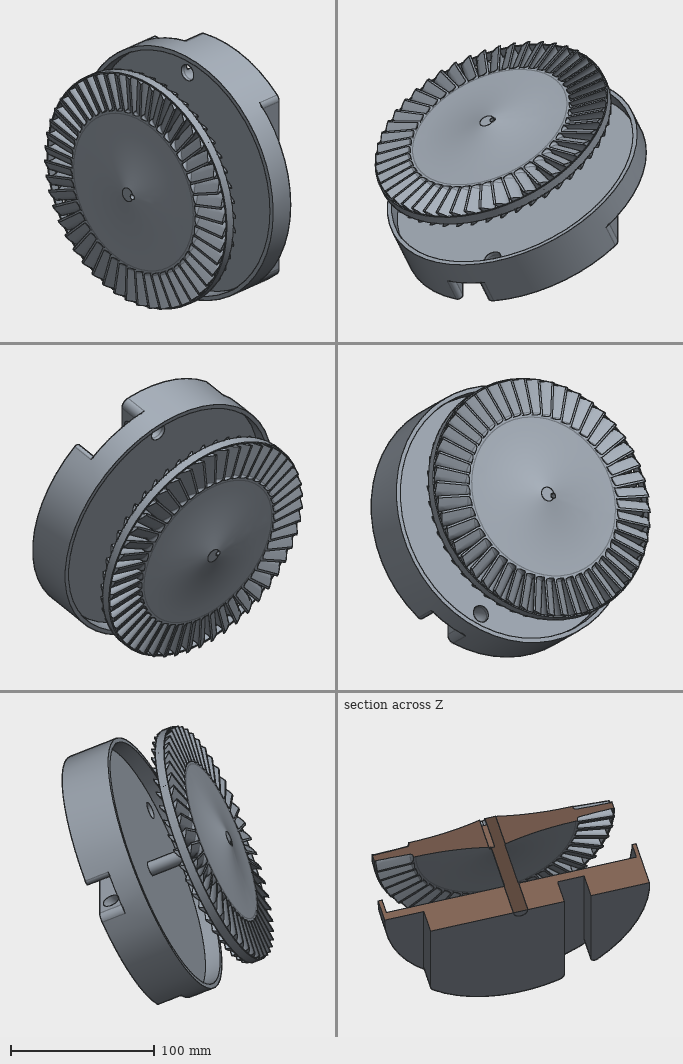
import cadquery as cq
import math


HOUSING_RADIUS = 93.5
HOUSING_DEPTH = 35.5
WALL = 3.2
RECESS_DEPTH = 11.2
BASE_DEPTH = HOUSING_DEPTH / 2
SEGMENT_X = -50.7
SEGMENT_CORNER = 3.0
LOWER_FACE_X = -31.8
UPPER_FACE_X = -12.7
STEP_Z = 56.1
OUTLET_FACE_X = 65.3
BLOCK_CORNER = 6.0

NOZZLE_Z = 73.5
NOZZLE_RADIUS = 6.0
NOZZLE_BEND = 12.7

WHEEL_Y = -36.5
WHEEL_TURN = -5.2
HUB_HALF_WIDTH = 12.7
BLADE_HALF_WIDTH = 6.7
DISH_RADIUS = 57.8
HUB_RADIUS = 59.5
RIM_INNER_RADIUS = 85.9
RIM_RADIUS = 87.0
RIM_WIDTH = 6.5

BLADE_COUNT = 48
BLADE_PHASE = 10.4
BLADE_THICKNESS = 9.5
BLADE_EDGE = 1.5
HOLLOW_DEPTH = 2.5
ROOT_FILLET = 1.9

SHAFT_RADIUS = 5.0
KEY_RADIUS = 1.9
KEY_OFFSET = 4.5
KEY_INSET = 5.6

BACK_LAYER_MID_Y = (BASE_DEPTH + HOUSING_DEPTH) / 2
WHEEL_FRONT_Y = WHEEL_Y - HUB_HALF_WIDTH
WHEEL_BACK_Y = WHEEL_Y + HUB_HALF_WIDTH
BLADE_FRONT_Y = WHEEL_Y - BLADE_HALF_WIDTH
BLADE_BACK_Y = WHEEL_Y + BLADE_HALF_WIDTH
SHAFT_AXIS = ((0, 0, 0), (0, 1, 0))


def cylinder(radius, front_y, back_y, x=0.0, z=0.0):
    """Cylinder along Y between two planes."""
    return cq.Workplane("XZ", origin=(x, back_y, z)).circle(radius).extrude(back_y - front_y)


def turn_with_wheel(body):
    return body.rotate(*SHAFT_AXIS, -WHEEL_TURN)


def circle_z(x):
    """Height of the housing's outer circle at a given X."""
    return math.sqrt(HOUSING_RADIUS**2 - x**2)



def back_layer(outline):
    """Part of the housing behind its base disc, trimmed to the outer circle."""
    return outline.extrude(BASE_DEPTH - HOUSING_DEPTH).intersect(
        cylinder(HOUSING_RADIUS, BASE_DEPTH, HOUSING_DEPTH)
    )


def back_sketch():
    return cq.Workplane("XZ", origin=(0, BASE_DEPTH, 0))


def make_wall_segment():
    width = HOUSING_RADIUS + SEGMENT_X
    center_x = SEGMENT_X - width / 2
    segment = back_layer(back_sketch().center(center_x, 0).rect(width, 2 * HOUSING_RADIUS))
    return segment.edges("|Y and >X").fillet(SEGMENT_CORNER)


def make_nozzle_block():
    outline = (
        back_sketch()
        .moveTo(LOWER_FACE_X, -HOUSING_RADIUS)
        .lineTo(OUTLET_FACE_X, -HOUSING_RADIUS)
        .lineTo(OUTLET_FACE_X, HOUSING_RADIUS)
        .lineTo(UPPER_FACE_X, HOUSING_RADIUS)
        .lineTo(UPPER_FACE_X, STEP_Z)
        .lineTo(LOWER_FACE_X, STEP_Z)
        .close()
    )
    corners = [
        (LOWER_FACE_X, -circle_z(LOWER_FACE_X)),
        (LOWER_FACE_X, STEP_Z),
        (UPPER_FACE_X, circle_z(UPPER_FACE_X)),
        (OUTLET_FACE_X, circle_z(OUTLET_FACE_X)),
        (OUTLET_FACE_X, -circle_z(OUTLET_FACE_X)),
    ]
    block = back_layer(outline)
    for x, z in corners:
        block = block.edges(cq.NearestToPointSelector((x, BACK_LAYER_MID_Y, z))).fillet(BLOCK_CORNER)
    return block


def make_nozzle(inlet_x, z):
    """Elbow that runs from a block face along X and bends towards the wheel."""
    inlet_y = BACK_LAYER_MID_Y
    bend_middle_angle = math.radians(45)
    bend_end = (inlet_x + NOZZLE_BEND, inlet_y - NOZZLE_BEND)
    bend_middle = (
        inlet_x + NOZZLE_BEND * math.sin(bend_middle_angle),
        inlet_y - NOZZLE_BEND * (1 - math.cos(bend_middle_angle)),
    )
    path = (
        cq.Workplane("XY", origin=(0, 0, z))
        .moveTo(inlet_x, inlet_y)
        .threePointArc(bend_middle, bend_end)
        .lineTo(bend_end[0], 0)
    )
    inlet = cq.Workplane("YZ", origin=(inlet_x, inlet_y, z)).circle(NOZZLE_RADIUS)
    return inlet.sweep(path)


def make_housing():
    base = cylinder(HOUSING_RADIUS, 0, BASE_DEPTH)
    base = base.cut(cylinder(HOUSING_RADIUS - WALL, 0, RECESS_DEPTH))
    body = base.union(make_wall_segment()).union(make_nozzle_block())
    body = body.cut(make_nozzle(UPPER_FACE_X, NOZZLE_Z))
    body = body.cut(make_nozzle(LOWER_FACE_X, -NOZZLE_Z))
    return body.cut(cylinder(SHAFT_RADIUS, 0, HOUSING_DEPTH))



def make_hub():
    """Disc with hollow curved cheeks that end level."""
    drop = HUB_HALF_WIDTH - BLADE_HALF_WIDTH
    run = DISH_RADIUS - SHAFT_RADIUS
    dish_curve = (run**2 + drop**2) / (2 * drop)
    half_angle = math.asin(run / dish_curve) / 2
    mid_radius = DISH_RADIUS - dish_curve * math.sin(half_angle)
    mid_height = BLADE_HALF_WIDTH + dish_curve * (1 - math.cos(half_angle))
    profile = (
        cq.Workplane("XY", origin=(0, WHEEL_Y, 0))
        .moveTo(SHAFT_RADIUS, -HUB_HALF_WIDTH)
        .threePointArc((mid_radius, -mid_height), (DISH_RADIUS, -BLADE_HALF_WIDTH))
        .lineTo(HUB_RADIUS, -BLADE_HALF_WIDTH)
        .lineTo(HUB_RADIUS, BLADE_HALF_WIDTH)
        .lineTo(DISH_RADIUS, BLADE_HALF_WIDTH)
        .threePointArc((mid_radius, mid_height), (SHAFT_RADIUS, HUB_HALF_WIDTH))
        .close()
    )
    return profile.revolve(360, (0, 0, 0), (0, 1, 0))


def make_rim():
    front_y = WHEEL_Y - RIM_WIDTH / 2
    back_y = WHEEL_Y + RIM_WIDTH / 2
    return cylinder(RIM_RADIUS, front_y, back_y).cut(cylinder(RIM_INNER_RADIUS, front_y, back_y))


def make_blade():
    """Blade along +X: flat front and back edges, one bulging and one hollow side, flared root."""
    hollow_z = -BLADE_THICKNESS / 2
    nose_z = BLADE_THICKNESS / 2
    flank_z = hollow_z + BLADE_EDGE
    blade = (
        cq.Workplane("YZ", origin=(DISH_RADIUS, WHEEL_Y, 0))
        .moveTo(-BLADE_HALF_WIDTH, hollow_z)
        .lineTo(-BLADE_HALF_WIDTH, flank_z)
        .spline([(0, nose_z), (BLADE_HALF_WIDTH, flank_z)], includeCurrent=True)
        .lineTo(BLADE_HALF_WIDTH, hollow_z)
        .threePointArc((0, hollow_z + HOLLOW_DEPTH), (-BLADE_HALF_WIDTH, hollow_z))
        .close()
        .extrude(RIM_RADIUS - DISH_RADIUS)
    )
    hub = cylinder(HUB_RADIUS, BLADE_FRONT_Y, BLADE_BACK_Y)
    tip = cylinder(RIM_INNER_RADIUS, BLADE_FRONT_Y, BLADE_BACK_Y)
    nose_root = cq.NearestToPointSelector((HUB_RADIUS, WHEEL_Y, nose_z))
    rooted_blade = hub.union(blade).edges(nose_root).fillet(ROOT_FILLET)
    return rooted_blade.intersect(tip.cut(hub))


def make_blades():
    blade = make_blade()
    return [
        blade.rotate(*SHAFT_AXIS, -(BLADE_PHASE + index * 360 / BLADE_COUNT)).val()
        for index in range(BLADE_COUNT)
    ]


def key_cylinder(front_y):
    return cylinder(KEY_RADIUS, front_y, WHEEL_BACK_Y, x=KEY_OFFSET)


def make_wheel():
    body = make_hub().val().fuse(make_rim().val(), *make_blades())
    body = cq.Workplane(body).cut(key_cylinder(WHEEL_FRONT_Y))
    return turn_with_wheel(body)



def make_shaft():
    body = cylinder(SHAFT_RADIUS, WHEEL_FRONT_Y, HOUSING_DEPTH)
    return body.cut(turn_with_wheel(key_cylinder(WHEEL_FRONT_Y)))


def make_key():
    return turn_with_wheel(key_cylinder(WHEEL_FRONT_Y + KEY_INSET))


housing = make_housing()
wheel = make_wheel()
shaft = make_shaft()
key = make_key()

result = cq.Compound.makeCompound([housing.val(), wheel.val(), shaft.val(), key.val()])